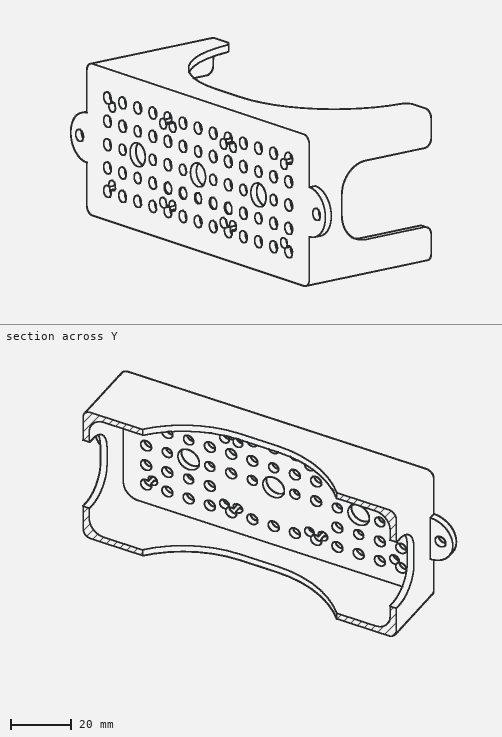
import cadquery as cq
import math

body_width = 118.0
body_height = 52.0
body_depth = 51.5
wall = 2.5
outer_corner_radius = 3.0
inner_corner_radius = 5.5

ear_radius = 8.5
ear_hole_diameter = 4.0
ear_hole_offset = 3.8

grid_pitch = 8.0
grid_last_column = 6
grid_last_row = 2
grid_hole_diameter = 4.0
reduced_hole_diameter = 3.7
large_hole_diameter = 8.0
large_hole_columns = (-4, 0, 4)
blind_hole_row = -1
blind_hole_last_column = 2
blind_hole_depth = 0.5

relief_hole_diameter = 3.5
relief_offset = 2.5
relief_columns = (-6, -2, 2, 6)

wide_arc_radius = 39.5
wide_arc_centre_x = 7.0
wide_opening_floor = 12.5

narrow_opening_width = 27.0
narrow_opening_floor = 13.75
narrow_corner_radius = 10.0

mouth_radius = 3.0


def box_shell():
    outer = (
        cq.Workplane("XZ")
        .rect(body_width, body_height)
        .extrude(-body_depth)
        .edges("|Y")
        .fillet(outer_corner_radius)
    )
    cavity = (
        cq.Workplane("XZ", origin=(0, wall, 0))
        .rect(body_width - 2 * wall, body_height - 2 * wall)
        .extrude(-(body_depth - wall))
        .edges("|Y")
        .fillet(inner_corner_radius)
    )
    return outer.cut(cavity)


def wide_opening():
    """Cutter with a flat floor, large arcs and mouths flaring out at the back edge."""
    arc_centre_y = wide_opening_floor + wide_arc_radius
    mouth_centre_y = body_depth - mouth_radius
    centre_distance = wide_arc_radius + mouth_radius
    drop = arc_centre_y - mouth_centre_y
    reach = math.sqrt(centre_distance**2 - drop**2)
    mouth_centre_x = wide_arc_centre_x + reach

    touch_angle = math.atan2(-drop, reach)
    touch_x = wide_arc_centre_x + wide_arc_radius * math.cos(touch_angle)
    touch_y = arc_centre_y + wide_arc_radius * math.sin(touch_angle)
    arc_mid_angle = (touch_angle - math.pi / 2) / 2
    arc_mid_x = wide_arc_centre_x + wide_arc_radius * math.cos(arc_mid_angle)
    arc_mid_y = arc_centre_y + wide_arc_radius * math.sin(arc_mid_angle)
    mouth_mid_angle = (math.pi / 2 + math.pi + touch_angle) / 2
    mouth_mid_x = mouth_centre_x + mouth_radius * math.cos(mouth_mid_angle)
    mouth_mid_y = mouth_centre_y + mouth_radius * math.sin(mouth_mid_angle)

    return (
        cq.Workplane("XY")
        .moveTo(-wide_arc_centre_x, wide_opening_floor)
        .lineTo(wide_arc_centre_x, wide_opening_floor)
        .threePointArc((arc_mid_x, arc_mid_y), (touch_x, touch_y))
        .threePointArc((mouth_mid_x, mouth_mid_y), (mouth_centre_x, body_depth))
        .lineTo(-mouth_centre_x, body_depth)
        .threePointArc((-mouth_mid_x, mouth_mid_y), (-touch_x, touch_y))
        .threePointArc((-arc_mid_x, arc_mid_y), (-wide_arc_centre_x, wide_opening_floor))
        .close()
        .extrude(body_height / 2, both=True)
    )


def narrow_opening():
    """U-shaped cutter with rounded floor corners and mouths flaring out at the back edge."""
    half_width = narrow_opening_width / 2
    mouth_half_width = half_width + mouth_radius
    mouth_start = body_depth - mouth_radius
    floor_half_width = half_width - narrow_corner_radius
    corner_end = narrow_opening_floor + narrow_corner_radius
    return (
        cq.Workplane("YZ")
        .moveTo(narrow_opening_floor, -floor_half_width)
        .lineTo(narrow_opening_floor, floor_half_width)
        .radiusArc((corner_end, half_width), narrow_corner_radius)
        .lineTo(mouth_start, half_width)
        .radiusArc((body_depth, mouth_half_width), -mouth_radius)
        .lineTo(body_depth, -mouth_half_width)
        .radiusArc((mouth_start, -half_width), -mouth_radius)
        .lineTo(corner_end, -half_width)
        .radiusArc((narrow_opening_floor, -floor_half_width), narrow_corner_radius)
        .close()
        .extrude(body_width / 2, both=True)
    )


def plate_cylinders(centres, diameter, depth=wall):
    return cq.Workplane("XZ").pushPoints(centres).circle(diameter / 2).extrude(-depth)


def ears():
    centres = [(side * body_width / 2, 0) for side in (-1, 1)]
    return plate_cylinders(centres, 2 * ear_radius)


def ear_holes():
    hole_x = body_width / 2 + ear_hole_offset
    return plate_cylinders([(-hole_x, 0), (hole_x, 0)], ear_hole_diameter)


def is_beside_large_hole(column, row):
    return any(abs(column - large) + abs(row) == 1 for large in large_hole_columns)


def grid_holes():
    """List of cutters for the grid, one for each kind of hole."""
    large = []
    regular = []
    reduced = []
    blind_regular = []
    blind_reduced = []
    for column in range(-grid_last_column, grid_last_column + 1):
        for row in range(-grid_last_row, grid_last_row + 1):
            centre = (column * grid_pitch, row * grid_pitch)
            is_blind = row == blind_hole_row and abs(column) <= blind_hole_last_column
            if row == 0 and column in large_hole_columns:
                large.append(centre)
            elif is_beside_large_hole(column, row):
                group = blind_reduced if is_blind else reduced
                group.append(centre)
            else:
                group = blind_regular if is_blind else regular
                group.append(centre)
    return [
        plate_cylinders(large, large_hole_diameter),
        plate_cylinders(regular, grid_hole_diameter),
        plate_cylinders(reduced, reduced_hole_diameter),
        plate_cylinders(blind_regular, grid_hole_diameter, blind_hole_depth),
        plate_cylinders(blind_reduced, reduced_hole_diameter, blind_hole_depth),
    ]


def relief_holes():
    """Relief holes sit on the side towards Z = 0, and never beyond the end columns."""
    centres = []
    for column in relief_columns:
        for x_side in (-1, 1):
            x = column * grid_pitch + x_side * relief_offset
            if abs(x) > grid_last_column * grid_pitch:
                continue
            for z_side in (-1, 1):
                z = z_side * (grid_last_row * grid_pitch - relief_offset)
                centres.append((x, z))
    return plate_cylinders(centres, relief_hole_diameter)


result = box_shell().cut(wide_opening()).cut(narrow_opening()).union(ears())
for cutter in [ear_holes(), relief_holes()] + grid_holes():
    result = result.cut(cutter)